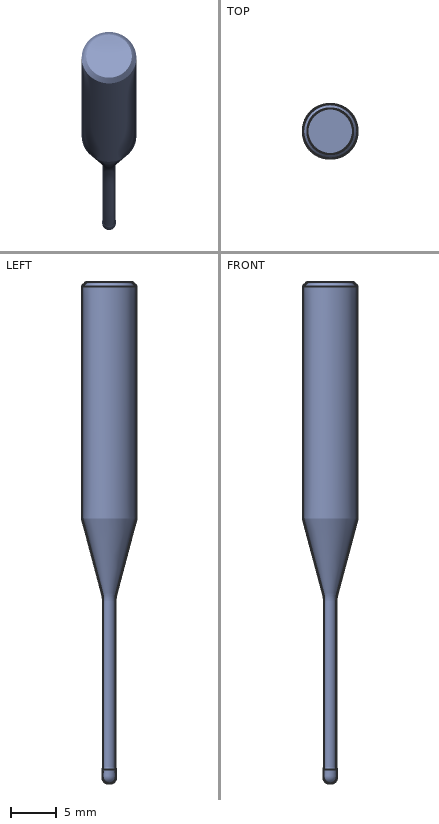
import cadquery as cq
import math

total_length = 55.0
shank_diameter = 6.0
end_chamfer = 0.5
neck_diameter = 1.4
neck_bottom_z = 1.75
blend_bottom_z = 20.0
blend_height = 0.8
taper_half_angle = math.radians(15)

ball_diameter = shank_diameter / 4
tip_top_diameter = 1.5
tip_length = 1.55

shank_radius = shank_diameter / 2
neck_radius = neck_diameter / 2
ball_radius = ball_diameter / 2
tip_top_radius = tip_top_diameter / 2

blend_radius = blend_height / math.sin(taper_half_angle)
blend_top_z = blend_bottom_z + blend_height


def blend_point(angle):
    """Point (radius, z) on the blend arc where its tangent leans outward by angle."""
    return (
        neck_radius + blend_radius * (1 - math.cos(angle)),
        blend_bottom_z + blend_radius * math.sin(angle),
    )


def revolve_about_z(profile):
    """Full turn of a closed half profile about the tool axis."""
    return profile.close().revolve(360, (0, 0, 0), (0, 1, 0))


def make_shank():
    """Shank with chamfered end, taper, concave blend, slender neck and flare down to the tip."""
    blend_mid = blend_point(taper_half_angle / 2)
    blend_top = blend_point(taper_half_angle)
    taper_height = (shank_radius - blend_top[0]) / math.tan(taper_half_angle)
    profile = (
        cq.Workplane("XZ")
        .moveTo(0, tip_length)
        .lineTo(tip_top_radius, tip_length)
        .lineTo(neck_radius, neck_bottom_z)
        .lineTo(neck_radius, blend_bottom_z)
        .threePointArc(blend_mid, blend_top)
        .lineTo(shank_radius, blend_top_z + taper_height)
        .lineTo(shank_radius, total_length - end_chamfer)
        .lineTo(shank_radius - end_chamfer, total_length)
        .lineTo(0, total_length)
    )
    return revolve_about_z(profile)


def make_tip():
    """Hemispherical nose with a slightly back-tapered body above it."""
    mid_angle = math.radians(45)
    nose_mid = (
        ball_radius * math.sin(mid_angle),
        ball_radius * (1 - math.cos(mid_angle)),
    )
    profile = (
        cq.Workplane("XZ")
        .moveTo(0, 0)
        .threePointArc(nose_mid, (ball_radius, ball_radius))
        .lineTo(tip_top_radius, tip_length)
        .lineTo(0, tip_length)
    )
    return revolve_about_z(profile)


shank = make_shank()
tip = make_tip()
result = cq.Compound.makeCompound([shank.val(), tip.val()])